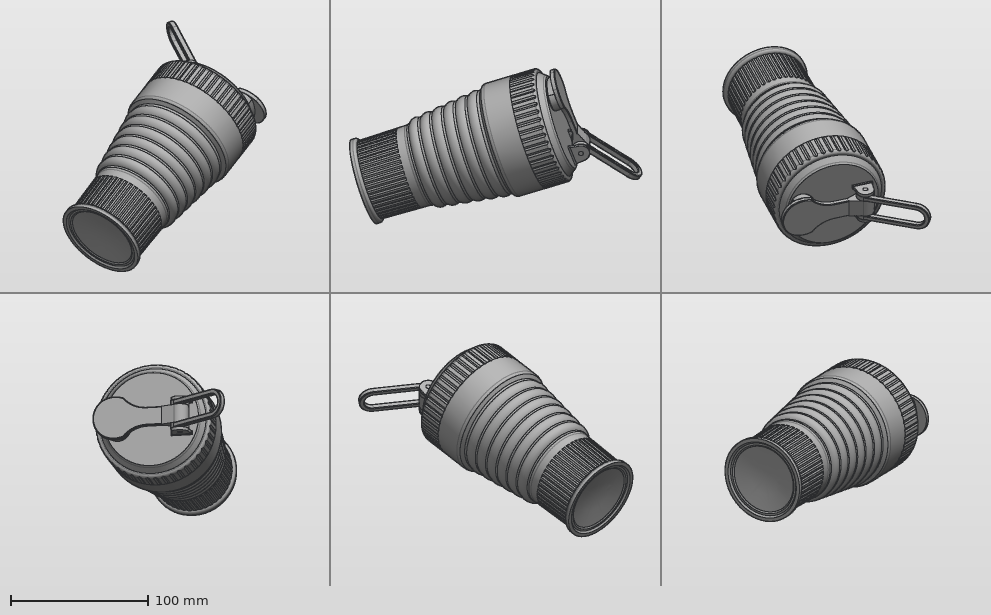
import cadquery as cq
import math


LID_TOP = 152.5
LID_BOTTOM = 127.5
COLLAR_BOTTOM = 102.8
SLEEVE_TOP = 43.8

LID_RADIUS = 43.0
LID_TOP_RADIUS = 35.0
LID_TOP_BEVEL = 1.4
LID_BEVEL_RADIUS = 36.2
LID_STEP_Y = 146.8
LID_CONE_RADIUS = 39.5
LID_EDGE_FILLET = 2.5
LID_GROOVES = 45
LID_GROOVE_WIDTH = 3.1
LID_GROOVE_DEPTH = 0.5

COLLAR_FILLET_TOP = 107.5
COLLAR_FILLET_BOTTOM = 105.0
COLLAR_FILLET_RADIUS = 42.2

NECK_RADIUS = 39.5
NECK_STEP = 1.22
FOLD_COUNT = 6
FOLD_PITCH = 9.53
FOLD_BULGE = 0.8
FIRST_FOLD_TOP = 100.7
NECK_HEIGHT = 1.7
LAST_FOLD_RADIUS = 31.2
CORE_RADIUS = 28.0
CUP_BOTTOM = 1.4
DISH_EDGE_RADIUS = 26.5
DISH_RADIUS = 25.4
DISH_LIP = 0.8
DISH_DEPTH = 2.7

SLEEVE_TOP_RADIUS = 31.0
SLEEVE_LIP_Y = 41.8
SLEEVE_LIP_RADIUS = 30.6
SLEEVE_FOOT_RADIUS = 29.8
FLANGE_TOP = 4.8
FLANGE_RADIUS = 32.1
FLANGE_FILLET = 2.3
SLEEVE_INNER_CHAMFER = 1.4
RIB_TOP = 35.5
SLEEVE_GROOVES = 44
SLEEVE_GROOVE_WIDTH = 3.0
SLEEVE_GROOVE_DEPTH = 0.5

PIN_X = -22.7
PIN_Y = 159.5
PIN_RADIUS = 1.7
EAR_RADIUS = 6.4
EAR_OUTER = 12.8
EAR_FOOT_HALF = 7.2
PLINTH_HALF = 7.7
PLINTH_HEIGHT = 1.4
PLINTH_LEDGE = 0.5

LOOP_OUTER = 10.5
LOOP_INNER = 6.8
LOOP_ANGLE = 35
LOOP_REACH = 50.4
LOOP_THICKNESS = 4.5
LOOP_EYE_RADIUS = 6.8
LOOP_CHAMFER = 0.5

FLAP_TOP = 161.7
FLAP_THICKNESS = 3.5
FLAP_KNUCKLE_RADIUS = 6.5
FLAP_EDGE = 0.5
ARM_START = -9.3
FLARE_START = 2.0
HEAD_START = 19.0
HEAD_START_HALF = 14.7
HEAD_MIDDLE = 26.7
HEAD_HALF = 15.9
HEAD_SHOULDER = 34.9
HEAD_SHOULDER_HALF = 13.4
HEAD_TIP = 41.8
HEAD_TIP_RADIUS = 16.3
PLUG_CENTER = 24.8
PLUG_HALF_X = 11.6
PLUG_HALF_Z = 15.7
PLUG_RIM_RADIUS = 33.9
PLUG_CHAMFER = 0.8


def revolve(outline):
    """Full turn of a closed outline about the Y axis."""
    return outline.close().revolve(360, (0, 0, 0), (0, 1, 0))


def cylinder_z(x, y, radius, z_from, z_to):
    """Cylinder parallel to Z."""
    return cq.Workplane("XY", origin=(x, y, z_from)).circle(radius).extrude(z_to - z_from)


def cut_grooves(body, count, width, depth, y_low, radius_low, y_high, radius_high):
    """Cut V grooves around the body along a straight or tapered wall; the first lies on -X."""

    def section(y, radius):
        rim = 2 * radius - math.sqrt(radius ** 2 - (width / 2) ** 2)
        reach = width / 2 * (rim - radius + depth) / depth
        corners = [(-(radius - depth), 0), (-rim, reach), (-rim, -reach)]
        return cq.Wire.makePolygon([cq.Vector(x, y, z) for x, z in corners], close=True)

    groove = cq.Solid.makeLoft([section(y_low, radius_low), section(y_high, radius_high)], True)
    axis = (cq.Vector(0, 0, 0), cq.Vector(0, 1, 0))
    cutters = [groove.rotate(*axis, 360 * i / count) for i in range(count)]
    return cq.Workplane(body.val().cut(*cutters))


def make_ear(side):
    """Hinge ear on its plinth; side is +1 or -1 along Z."""
    foot_y = LID_TOP + PLINTH_HEIGHT
    ear_thickness = EAR_OUTER - LOOP_OUTER
    ear = (
        cq.Workplane("XY", origin=(0, 0, LOOP_OUTER))
        .moveTo(PIN_X - EAR_FOOT_HALF, foot_y)
        .lineTo(PIN_X - EAR_RADIUS, PIN_Y)
        .threePointArc((PIN_X, PIN_Y + EAR_RADIUS), (PIN_X + EAR_RADIUS, PIN_Y))
        .lineTo(PIN_X + EAR_FOOT_HALF, foot_y)
        .close()
        .extrude(ear_thickness)
    )
    plinth = cq.Workplane("XY").box(
        2 * PLINTH_HALF, PLINTH_HEIGHT, ear_thickness + PLINTH_LEDGE, centered=(True, False, False)
    )
    ear = ear.union(plinth.translate((PIN_X, LID_TOP, LOOP_OUTER)))
    return ear if side > 0 else ear.mirror("XY")


def make_lid():
    fillet_start = LID_RADIUS - LID_EDGE_FILLET
    fillet_y = LID_STEP_Y - LID_EDGE_FILLET
    diagonal = LID_EDGE_FILLET * math.sqrt(0.5)
    outline = (
        cq.Workplane("XY")
        .moveTo(0, LID_BOTTOM)
        .lineTo(LID_RADIUS, LID_BOTTOM)
        .lineTo(LID_RADIUS, fillet_y)
        .threePointArc((fillet_start + diagonal, fillet_y + diagonal), (fillet_start, LID_STEP_Y))
        .lineTo(LID_CONE_RADIUS, LID_STEP_Y)
        .lineTo(LID_BEVEL_RADIUS, LID_TOP - LID_TOP_BEVEL)
        .lineTo(LID_TOP_RADIUS, LID_TOP)
        .lineTo(0, LID_TOP)
    )
    lid = cut_grooves(
        revolve(outline), LID_GROOVES, LID_GROOVE_WIDTH, LID_GROOVE_DEPTH,
        LID_BOTTOM, LID_RADIUS, LID_TOP, LID_RADIUS,
    )
    lid = lid.union(make_ear(1)).union(make_ear(-1))
    return lid.cut(cylinder_z(PIN_X, PIN_Y, PIN_RADIUS, -EAR_OUTER, EAR_OUTER))


def make_collar():
    outline = (
        cq.Workplane("XY")
        .moveTo(0, LID_BOTTOM)
        .lineTo(LID_RADIUS, LID_BOTTOM)
        .lineTo(LID_RADIUS, COLLAR_FILLET_TOP)
        .tangentArcPoint((COLLAR_FILLET_RADIUS, COLLAR_FILLET_BOTTOM), relative=False)
        .lineTo(NECK_RADIUS, COLLAR_BOTTOM)
        .lineTo(0, COLLAR_BOTTOM)
    )
    return revolve(outline)


def make_cup():
    outline = cq.Workplane("XY").moveTo(0, COLLAR_BOTTOM).lineTo(NECK_RADIUS, COLLAR_BOTTOM)
    fold_height = FOLD_PITCH - NECK_HEIGHT
    for i in range(FOLD_COUNT):
        neck = NECK_RADIUS - i * NECK_STEP
        last = i == FOLD_COUNT - 1
        end_radius = LAST_FOLD_RADIUS if last else neck - NECK_STEP
        top = FIRST_FOLD_TOP - i * FOLD_PITCH
        outline = outline.lineTo(neck, top).threePointArc(
            (neck + FOLD_BULGE, top - 0.4 * fold_height), (end_radius, top - fold_height)
        )
    outline = (
        outline.lineTo(SLEEVE_TOP_RADIUS, SLEEVE_TOP)
        .lineTo(CORE_RADIUS, SLEEVE_TOP)
        .lineTo(CORE_RADIUS, CUP_BOTTOM)
        .lineTo(DISH_EDGE_RADIUS, CUP_BOTTOM)
        .lineTo(DISH_RADIUS, CUP_BOTTOM + DISH_LIP)
    )
    crown = CUP_BOTTOM + DISH_LIP + DISH_DEPTH
    sphere_radius = (DISH_RADIUS ** 2 + DISH_DEPTH ** 2) / (2 * DISH_DEPTH)
    half_x = DISH_RADIUS / 2
    half_y = crown - sphere_radius + math.sqrt(sphere_radius ** 2 - half_x ** 2)
    return revolve(outline.threePointArc((half_x, half_y), (0, crown)))


def make_sleeve():
    flat_radius = FLANGE_RADIUS - FLANGE_FILLET
    fillet_y = FLANGE_TOP - FLANGE_FILLET
    diagonal = FLANGE_FILLET * math.sqrt(0.5)
    outline = (
        cq.Workplane("XY")
        .moveTo(CORE_RADIUS, SLEEVE_TOP)
        .lineTo(SLEEVE_TOP_RADIUS, SLEEVE_TOP)
        .lineTo(SLEEVE_LIP_RADIUS, SLEEVE_LIP_Y)
        .lineTo(SLEEVE_FOOT_RADIUS, FLANGE_TOP)
        .threePointArc((flat_radius + diagonal, fillet_y + diagonal), (FLANGE_RADIUS, fillet_y))
        .lineTo(FLANGE_RADIUS, 0)
        .lineTo(CORE_RADIUS + SLEEVE_INNER_CHAMFER, 0)
        .lineTo(CORE_RADIUS, SLEEVE_INNER_CHAMFER)
    )
    slope = (SLEEVE_LIP_RADIUS - SLEEVE_FOOT_RADIUS) / (SLEEVE_LIP_Y - FLANGE_TOP)
    rib_top_radius = SLEEVE_FOOT_RADIUS + slope * (RIB_TOP - FLANGE_TOP)
    return cut_grooves(
        revolve(outline), SLEEVE_GROOVES, SLEEVE_GROOVE_WIDTH, SLEEVE_GROOVE_DEPTH,
        FLANGE_TOP, SLEEVE_FOOT_RADIUS, RIB_TOP, rib_top_radius,
    )


def make_loop():
    """Built lying along +X with the pin axis on Z at the origin, then swung into place."""
    low = LOOP_EYE_RADIUS - LOOP_THICKNESS
    straight = LOOP_REACH - LOOP_OUTER

    def u_shape(half, end, plane_y):
        return (
            cq.Workplane("XZ", origin=(0, plane_y, 0))
            .moveTo(0, -half)
            .lineTo(straight, -half)
            .threePointArc((end, 0), (straight, half))
            .lineTo(0, half)
            .close()
            .extrude(-LOOP_THICKNESS)
        )

    bar = u_shape(LOOP_OUTER, LOOP_REACH, low)
    bar = bar.cut(u_shape(LOOP_INNER, LOOP_REACH - LOOP_OUTER + LOOP_INNER, low))
    bar = bar.faces("<Y or >Y").edges().chamfer(LOOP_CHAMFER)
    eye = cylinder_z(0, 0, LOOP_EYE_RADIUS, LOOP_INNER, LOOP_OUTER)
    loop = bar.union(eye).union(eye.mirror("XY"))
    loop = loop.cut(cylinder_z(0, 0, PIN_RADIUS, -LOOP_OUTER, LOOP_OUTER))
    return (
        loop.mirror("YZ")
        .rotate((0, 0, 0), (0, 0, 1), -LOOP_ANGLE)
        .translate((PIN_X, PIN_Y, 0))
    )


def make_pin():
    return cylinder_z(PIN_X, PIN_Y, PIN_RADIUS, -EAR_OUTER, EAR_OUTER)


def make_flap():
    bottom = FLAP_TOP - FLAP_THICKNESS
    half_plate = (
        cq.Workplane("XZ", origin=(0, bottom, 0))
        .moveTo(PIN_X, 0)
        .lineTo(PIN_X, LOOP_INNER)
        .lineTo(FLARE_START, LOOP_INNER)
        .tangentArcPoint((HEAD_START, HEAD_START_HALF), relative=False)
        .threePointArc((HEAD_MIDDLE, HEAD_HALF), (HEAD_SHOULDER, HEAD_SHOULDER_HALF))
        .radiusArc((HEAD_TIP, 0), HEAD_TIP_RADIUS)
        .close()
        .extrude(-FLAP_THICKNESS)
    )
    plate = half_plate.union(half_plate.mirror("XY"))
    plate = plate.faces(">Y").edges().chamfer(FLAP_EDGE)
    knuckle = cylinder_z(PIN_X, PIN_Y, FLAP_KNUCKLE_RADIUS, -LOOP_INNER, LOOP_INNER)
    rise = FLAP_KNUCKLE_RADIUS * math.sin(math.radians(60))
    run = FLAP_KNUCKLE_RADIUS * math.cos(math.radians(60))
    taper = (
        cq.Workplane("XY", origin=(0, 0, -LOOP_INNER))
        .moveTo(PIN_X, PIN_Y)
        .lineTo(PIN_X + run, PIN_Y + rise)
        .lineTo(ARM_START, FLAP_TOP)
        .lineTo(ARM_START, bottom)
        .lineTo(PIN_X + run, PIN_Y - rise)
        .close()
        .extrude(2 * LOOP_INNER)
    )
    plug = (
        cq.Workplane("XZ", origin=(PLUG_CENTER, LID_TOP, 0))
        .ellipse(PLUG_HALF_X, PLUG_HALF_Z)
        .extrude(LID_TOP - bottom)
        .intersect(cq.Workplane("XZ", origin=(0, LID_TOP, 0)).circle(PLUG_RIM_RADIUS).extrude(LID_TOP - bottom))
        .faces("<Y").chamfer(PLUG_CHAMFER)
    )
    flap = plate.union(taper).union(knuckle).union(plug)
    return flap.cut(cylinder_z(PIN_X, PIN_Y, PIN_RADIUS, -LOOP_INNER, LOOP_INNER))


lid = make_lid().solids()
collar = make_collar()
cup = make_cup()
sleeve = make_sleeve().solids()
loop = make_loop().solids()
flap = make_flap().solids()
pin = make_pin()

result = cq.Compound.makeCompound(
    [lid.val(), collar.val(), cup.val(), sleeve.val(), loop.val(), flap.val(), pin.val()]
)